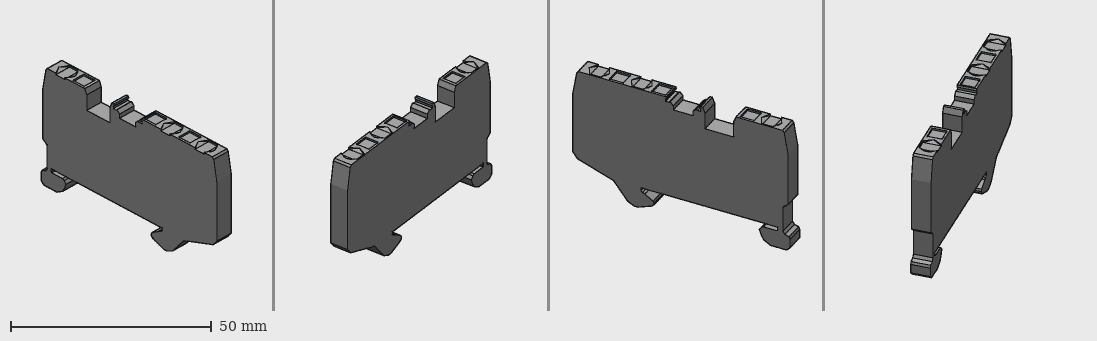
import cadquery as cq

length = 61.2
thickness = 5.2
height = 35.4

body_left = 0.55
waist_x = 2.0
rail_seat_z = 6.05
shoulder_z = 28.5
shoulder_lean = 1.1
top_chamfer_run = 0.5
top_chamfer_drop = 0.55
waist_top = (waist_x, 12.4)
waist_bevel = (1.65, 12.8)
waist_bevel_top = (body_left, 13.7)

notch_left = 15.9
notch_right = 23.9
notch_floor_z = 29.2
flare_width = 0.7
flare_depth = 1.6

groove_axis_x = 30.1
groove_floor_z = 32.05
groove_half_width = 2.75
ledge_drop = 1.4
ledge_crest_rise = 0.25
ledge_crest_half_width = 3.7
ledge_inner_half_width = 4.05
groove_wall_rise = 1.3
undercut_half_width = 4.95
undercut_height = 0.7
lip_half_width = 4.6
lip_drop = 0.5
lip_chamfer = 0.2

foot_shank_right = 3.5
foot_top_z = 4.95
foot_throat_chamfer = 0.25
foot_heel_chamfer = 1.0
foot_side_z = 3.5
foot_sole_end_x = 5.6
foot_toe_points = [(7.45, foot_top_z), (8.0, 4.65), (8.7, 3.8), (8.15, 2.3), (7.4, 1.05), (5.9, 0.25)]
foot_instep_points = [(0.3, 4.15), (1.45, 4.5), (waist_x, 5.3)]

flank_bottom_z = 10.95
flank_bevel_end = (59.85, 9.25)
hook_root = (49.7, 5.8)
hook_sole_left = 42.85
hook_sole_right = 43.9
hook_heel_bevel = (45.7, 0.85)
hook_underside_end = (38.85, 1.5)
hook_tip_x = 38.3
hook_tip_low_z = 2.1
hook_tip_high_z = 2.6
hook_tip_bevel = (38.55, 3.1)
hook_throat_x = 42.05
hook_throat_z = 5.2
hook_throat_points = [(40.65, 4.35), (40.9, 4.6), (41.55, 4.8)]

pocket_depth = 0.5
square_side = 3.9
square_centers_x = (12.4, 37.35, 49.25)
hex_centers_x = (6.7, 43.2, 55.15)
hex_half_length = 2.9
hex_floor_length = 3.05
hex_back_wall = 0.35


def groove_side(side):
    """Half of the marker groove, from floor to top edge; side is -1 (left) or +1 (right)."""
    ledge_z = height - ledge_drop
    half_profile = [
        (groove_half_width, groove_floor_z),
        (groove_half_width, groove_floor_z + groove_wall_rise),
        (ledge_crest_half_width, ledge_z + ledge_crest_rise),
        (ledge_inner_half_width, ledge_z),
        (undercut_half_width, ledge_z),
        (undercut_half_width, ledge_z + undercut_height),
        (lip_half_width, height - lip_drop),
        (lip_half_width + lip_chamfer, height),
    ]
    return [(groove_axis_x + side * x, z) for x, z in half_profile]


def top_edge():
    """Top of the housing from the left shoulder to the right shoulder."""
    chamfer_z = height - top_chamfer_drop
    left_top_x = body_left + shoulder_lean
    right_top_x = length - shoulder_lean
    left_end = [
        (body_left, shoulder_z),
        (left_top_x, chamfer_z),
        (left_top_x + top_chamfer_run, height),
    ]
    notch = [
        (notch_left - flare_width, height),
        (notch_left, height - flare_depth),
        (notch_left, notch_floor_z),
        (notch_right, notch_floor_z),
        (notch_right, height - flare_depth),
        (notch_right + flare_width, height),
    ]
    groove = groove_side(-1)[::-1] + groove_side(1)
    right_end = [
        (right_top_x - top_chamfer_run, height),
        (right_top_x, chamfer_z),
        (length, shoulder_z),
    ]
    return left_end + notch + groove + right_end


def right_foot():
    """Right flank and slanted hook, ending at the rail seat."""
    flank = [(length, flank_bottom_z), flank_bevel_end, hook_root]
    sole = [hook_heel_bevel, (hook_sole_right, 0), (hook_sole_left, 0), hook_underside_end]
    tip = [(hook_tip_x, hook_tip_low_z), (hook_tip_x, hook_tip_high_z), hook_tip_bevel]
    throat = hook_throat_points + [(hook_throat_x, hook_throat_z), (hook_throat_x, rail_seat_z)]
    return flank + sole + tip + throat


def left_foot():
    """Fixed foot and waist, from the rail seat back up to the left wall."""
    throat = [
        (foot_shank_right, rail_seat_z),
        (foot_shank_right, foot_top_z + foot_throat_chamfer),
        (foot_shank_right + foot_throat_chamfer, foot_top_z),
    ]
    sole = [(foot_sole_end_x, 0), (foot_heel_chamfer, 0), (0, foot_heel_chamfer), (0, foot_side_z)]
    waist = [waist_top, waist_bevel, waist_bevel_top]
    return throat + foot_toe_points + sole + foot_instep_points + waist


def housing():
    outline = top_edge() + right_foot() + left_foot()
    return cq.Workplane("XZ").polyline(outline).close().extrude(-thickness)


def square_pocket(center_x):
    return (
        cq.Workplane("XY", origin=(center_x, thickness / 2, height))
        .rect(square_side, square_side)
        .extrude(-pocket_depth)
    )


def hex_pocket(center_x):
    """Hexagonal recess: flat floor in the middle, ramps rising to the two pointed ends."""
    half_floor = hex_floor_length / 2
    back_y = thickness - hex_back_wall
    hexagon = (
        cq.Workplane("XY", origin=(center_x, 0, height))
        .polyline([
            (-hex_half_length, back_y / 2),
            (-half_floor, 0),
            (half_floor, 0),
            (hex_half_length, back_y / 2),
            (half_floor, back_y),
            (-half_floor, back_y),
        ])
        .close()
        .extrude(-pocket_depth)
    )
    ramps = (
        cq.Workplane("XZ", origin=(center_x, 0, height))
        .polyline([
            (-hex_half_length, 0),
            (-half_floor, -pocket_depth),
            (half_floor, -pocket_depth),
            (hex_half_length, 0),
        ])
        .close()
        .extrude(-thickness)
    )
    return hexagon.intersect(ramps)


result = housing()
for square_x in square_centers_x:
    result = result.cut(square_pocket(square_x))
for hex_x in hex_centers_x:
    result = result.cut(hex_pocket(hex_x))